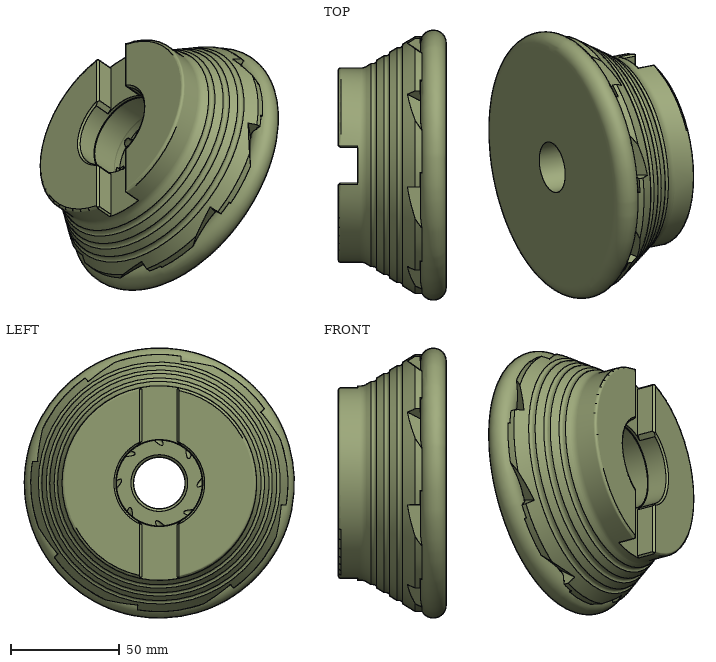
import cadquery as cq
import math

LENGTH = 50.0
OUTER_RADIUS = 62.5

RIM_ROUND_RADIUS = 6.0
RIM_CENTRE_RADIUS = OUTER_RADIUS - RIM_ROUND_RADIUS
RIM_CENTRE_X = LENGTH - RIM_ROUND_RADIUS

HUB_RADIUS = 45.0
HUB_EDGE_FILLET = 1.2
LAND_RADIUS = 59.5
LAND_START_X = 35.6
CONE_ANGLE = 31.4
CONE_SLOPE = math.tan(math.radians(CONE_ANGLE))
CONE_START_X = LAND_START_X - (LAND_RADIUS - HUB_RADIUS) / CONE_SLOPE
NECK_FILLET = 5.0

GROOVE_COUNT = 3
FIRST_GROOVE_X = 15.2
GROOVE_PITCH = 6.0
GROOVE_FLAT = 1.0
GROOVE_ROUND = GROOVE_FLAT * CONE_SLOPE / (1 - CONE_SLOPE)

ENTRY_RADIUS = 20.1
ENTRY_CHAMFER = 0.9
ENTRY_DEPTH = 10.4
BORE_RADIUS = 19.9
BORE_DEPTH = 28.0
RELIEF_RADIUS = 20.1
RELIEF_START_X = 24.1
RELIEF_TAPER_LENGTH = 0.9
THROUGH_RADIUS = 11.9
THROUGH_CHAMFER = 1.2

SLOT_WIDTH = 16.2
SLOT_DEPTH = 9.0
SLOT_CHAMFER = 1.0

TOOTH_COUNT = 8
TOOTH_PITCH = 360.0 / TOOTH_COUNT
POCKET_ANGLE = 34.9
POCKET_START_X = 32.1
POCKET_CORNER_RADIUS = 57.2
POCKET_WALL_TILT = 10.0
POCKET_FLOOR_TILT = 11.0
POCKET_FLOOR_DIP = 36.0
POCKET_LENGTH = 25.0
POCKET_HEIGHT = 7.5
NOTCH_START_X = 37.7
NOTCH_LENGTH = 6.9
NOTCH_FLOOR_RADIUS = 57.5

COOLANT_RADIUS = 1.5
COOLANT_ANGLE = -2.8
COOLANT_ENTRY_RADIUS = 18.4
COOLANT_ENTRY_X = 26.7
COOLANT_SWING = 45.0
COOLANT_CLIMB = 16.0
COOLANT_LENGTH = 38.7
COOLANT_OVERRUN = 2.5

SIN_45 = math.sin(math.radians(45))
X_AXIS = ((0, 0, 0), (1, 0, 0))


def cone_radius(x):
    return HUB_RADIUS + (x - CONE_START_X) * CONE_SLOPE


def revolve_about_x(profile):
    return profile.close().revolve(360, *X_AXIS)


def place_tooth(shape, angle):
    """Turn a shape made on the -Y side about X to the given angle around the cutter."""
    return shape.rotate(*X_AXIS, -angle)


def body():
    """Solid hub, neck, grooved cone and land."""
    edge_fillet_middle = (
        HUB_EDGE_FILLET * (1 - SIN_45),
        HUB_RADIUS - HUB_EDGE_FILLET * (1 - SIN_45),
    )
    half_angle = math.radians(CONE_ANGLE / 2)
    neck_reach = NECK_FILLET * math.tan(half_angle)
    neck_start_x = CONE_START_X - neck_reach
    neck_end_x = CONE_START_X + neck_reach * math.cos(2 * half_angle)
    neck_middle = (
        neck_start_x + NECK_FILLET * math.sin(half_angle),
        HUB_RADIUS + NECK_FILLET * (1 - math.cos(half_angle)),
    )
    profile = (
        cq.Workplane("XY")
        .lineTo(0, HUB_RADIUS - HUB_EDGE_FILLET)
        .threePointArc(edge_fillet_middle, (HUB_EDGE_FILLET, HUB_RADIUS))
        .lineTo(neck_start_x, HUB_RADIUS)
        .threePointArc(neck_middle, (neck_end_x, cone_radius(neck_end_x)))
    )
    for index in range(GROOVE_COUNT):
        start_x = FIRST_GROOVE_X + index * GROOVE_PITCH
        floor = cone_radius(start_x)
        flat_end_x = start_x + GROOVE_FLAT
        round_middle = (flat_end_x + GROOVE_ROUND * SIN_45, floor + GROOVE_ROUND * (1 - SIN_45))
        profile = (
            profile.lineTo(start_x, floor)
            .lineTo(flat_end_x, floor)
            .threePointArc(round_middle, (flat_end_x + GROOVE_ROUND, floor + GROOVE_ROUND))
        )
    profile = (
        profile.lineTo(LAND_START_X, LAND_RADIUS)
        .lineTo(RIM_CENTRE_X, LAND_RADIUS)
        .lineTo(RIM_CENTRE_X, 0)
    )
    return revolve_about_x(profile)


def rim():
    """Round ring with the flat disc that closes the wide end."""
    disc = (
        cq.Workplane("YZ", origin=(RIM_CENTRE_X, 0, 0))
        .circle(RIM_CENTRE_RADIUS)
        .extrude(RIM_ROUND_RADIUS)
    )
    ring = (
        cq.Workplane("XY", origin=(RIM_CENTRE_X, 0, 0))
        .center(0, RIM_CENTRE_RADIUS)
        .circle(RIM_ROUND_RADIUS)
        .revolve(360, (0, -RIM_CENTRE_RADIUS, 0), (1, -RIM_CENTRE_RADIUS, 0))
    )
    return disc.union(ring)


def bore():
    points = [
        (0, 0),
        (0, ENTRY_RADIUS + ENTRY_CHAMFER),
        (ENTRY_CHAMFER, ENTRY_RADIUS),
        (ENTRY_DEPTH, ENTRY_RADIUS),
        (ENTRY_DEPTH + ENTRY_RADIUS - BORE_RADIUS, BORE_RADIUS),
        (RELIEF_START_X, BORE_RADIUS),
        (RELIEF_START_X + RELIEF_TAPER_LENGTH, RELIEF_RADIUS),
        (BORE_DEPTH, RELIEF_RADIUS),
        (BORE_DEPTH, THROUGH_RADIUS + THROUGH_CHAMFER),
        (BORE_DEPTH + THROUGH_CHAMFER, THROUGH_RADIUS),
        (LENGTH, THROUGH_RADIUS),
        (LENGTH, 0),
    ]
    return revolve_about_x(cq.Workplane("XY").polyline(points))


def slot():
    """Slot with bevelled edges at the mounting face, the hub surface and the bore."""
    half = SLOT_WIDTH / 2
    wide = half + SLOT_CHAMFER
    flared = half + 2 * SLOT_CHAMFER
    hub_edge = math.sqrt(HUB_RADIUS**2 - half**2)
    bore_edge = math.sqrt(ENTRY_RADIUS**2 - half**2)
    channel_points = [
        (-half, 0),
        (half, 0),
        (half, hub_edge - SLOT_CHAMFER),
        (flared, hub_edge + SLOT_CHAMFER),
        (-flared, hub_edge + SLOT_CHAMFER),
        (-half, hub_edge - SLOT_CHAMFER),
    ]
    bore_flare_points = [
        (-flared, bore_edge - SLOT_CHAMFER),
        (flared, bore_edge - SLOT_CHAMFER),
        (half, bore_edge + SLOT_CHAMFER),
        (-half, bore_edge + SLOT_CHAMFER),
    ]
    mouth_points = [(0, -wide), (SLOT_CHAMFER, -half), (SLOT_CHAMFER, half), (0, wide)]
    channel = cq.Workplane("YZ").polyline(channel_points).close().extrude(SLOT_DEPTH)
    bore_flare = cq.Workplane("YZ").polyline(bore_flare_points).close().extrude(SLOT_DEPTH)
    mouth = cq.Workplane("XY").polyline(mouth_points).close().extrude(HUB_RADIUS)
    upper_half = channel.union(bore_flare).union(mouth)
    return upper_half.union(upper_half.mirror("XY"))


def insert_pocket():
    """Seat whose floor sinks towards the rim, with a shallow notch behind its end wall."""
    reach = RIM_CENTRE_X - POCKET_START_X
    sink = reach * math.tan(math.radians(POCKET_FLOOR_DIP))
    seat = (
        cq.Workplane("XY")
        .polyline([(0, 0), (reach, sink), (reach, -POCKET_HEIGHT), (0, -POCKET_HEIGHT)])
        .close()
        .extrude(POCKET_LENGTH, both=True)
        .rotate(*X_AXIS, -POCKET_FLOOR_TILT)
    )
    open_side = (
        cq.Workplane("XY")
        .rect(4 * POCKET_LENGTH, 4 * POCKET_LENGTH)
        .extrude(-2 * POCKET_LENGTH)
        .rotate(*X_AXIS, -POCKET_WALL_TILT)
    )
    seat = seat.intersect(open_side).translate((POCKET_START_X, -POCKET_CORNER_RADIUS, 0))
    notch = (
        cq.Workplane("XY")
        .box(RIM_CENTRE_X - NOTCH_START_X, POCKET_HEIGHT, NOTCH_LENGTH, centered=False)
        .translate((NOTCH_START_X, -NOTCH_FLOOR_RADIUS - POCKET_HEIGHT, 0))
    )
    return seat.union(notch)


def coolant_hole():
    """Hole that leans sideways by the swing angle and towards the rim by the climb angle."""
    swing = math.radians(COOLANT_SWING)
    climb = math.radians(COOLANT_CLIMB)
    entry = cq.Vector(COOLANT_ENTRY_X, -COOLANT_ENTRY_RADIUS, 0)
    axis = cq.Vector(
        math.sin(climb),
        -math.cos(climb) * math.cos(swing),
        math.cos(climb) * math.sin(swing),
    )
    drill = cq.Solid.makeCylinder(
        COOLANT_RADIUS,
        COOLANT_LENGTH + COOLANT_OVERRUN,
        entry - axis * COOLANT_OVERRUN,
        axis,
    )
    return cq.Workplane(drill)


result = body()
for tooth in range(TOOTH_COUNT):
    result = result.cut(place_tooth(insert_pocket(), POCKET_ANGLE + tooth * TOOTH_PITCH))
result = result.union(rim()).cut(bore()).cut(slot())
for tooth in range(TOOTH_COUNT):
    result = result.cut(place_tooth(coolant_hole(), COOLANT_ANGLE + tooth * TOOTH_PITCH))
result = cq.Workplane(result.solids().val())